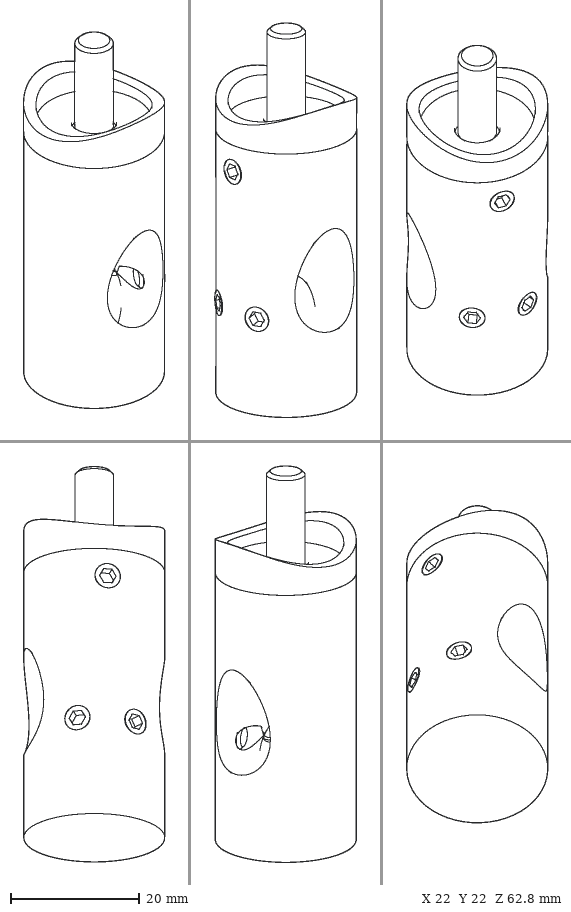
import cadquery as cq
import math

post_radius = 11.0
total_height = 62.8

dome_height = 2.15
shank_length = 43.95
post_top = dome_height + shank_length

bore_radius = 6.0
bore_slope = 45.0
bore_meeting_height = 13.05

tube_radius = 21.2
saddle_low_point = 50.05
recess_radius = 9.05
recess_floor = 48.1
saddle_hole_radius = 3.5
saddle_hole_round = 0.5

stud_radius = 3.0
stud_depth = 10.0
stud_tip_chamfer = 0.55
collar_height = 1.0

screw_radius = 2.0
socket_width = 2.25
socket_depth = 2.0
screw_tip_chamfer = 0.5

lock_screw_height = 41.65
lock_screw_length = post_radius - stud_radius

clamp_screw_height = 18.15
clamp_screw_spread = 25.0
clamp_screw_length = 4.0
clamp_hole_depth = 6.5


def screw_plane(height, turn):
    """Plane on the outer end of a radial screw, turned about the post axis from +Y toward +X."""
    angle = math.radians(turn)
    outward = cq.Vector(math.sin(angle), math.cos(angle), 0)
    return cq.Plane(
        origin=outward * post_radius + cq.Vector(0, 0, height),
        xDir=(outward.y, -outward.x, 0),
        normal=outward,
    )


lock_plane = screw_plane(lock_screw_height, 0)
clamp_planes = [screw_plane(clamp_screw_height, side * clamp_screw_spread) for side in (-1, 1)]


def make_screw(plane, length):
    shank_length = length - screw_tip_chamfer
    shank = cq.Workplane(plane).circle(screw_radius).extrude(-shank_length)
    tip = cq.Workplane(
        cq.Solid.makeCone(
            screw_radius,
            screw_radius - screw_tip_chamfer,
            screw_tip_chamfer,
            pnt=plane.toWorldCoords((0, 0, -shank_length)),
            dir=-plane.zDir,
        )
    )
    socket_diameter = socket_width / math.cos(math.pi / 6)
    socket = cq.Workplane(plane).polygon(6, socket_diameter).extrude(-socket_depth)
    return shank.union(tip).cut(socket)


def make_screw_hole(plane, depth):
    """Round hole that runs from outside the post to the given depth below the screw's outer end."""
    inner_end = plane.toWorldCoords((0, 0, -depth))
    length = depth + screw_radius
    return cq.Workplane(cq.Solid.makeCylinder(screw_radius, length, inner_end, plane.zDir))


def make_rod_bore():
    """Half of the V-shaped bore: a sloping cylinder kept only on the -X side of the post axis."""
    reach = 4 * post_radius
    slope = math.radians(bore_slope)
    direction = (-math.cos(slope), 0, math.sin(slope))
    bore_plane = cq.Plane(origin=(0, 0, bore_meeting_height), xDir=(0, 1, 0), normal=direction)
    cylinder = cq.Workplane(bore_plane).circle(bore_radius).extrude(reach, both=True)
    kept_side = cq.Workplane("XY").box(reach, reach, 2 * total_height).translate((-reach / 2, 0, 0))
    return cylinder.intersect(kept_side)


def make_post():
    profile = (
        cq.Workplane("XZ")
        .moveTo(0, post_top)
        .lineTo(-post_radius, post_top)
        .lineTo(-post_radius, dome_height)
    )
    dome_radius = (post_radius**2 + dome_height**2) / (2 * dome_height)
    half_angle = math.asin(post_radius / dome_radius) / 2
    mid = (-dome_radius * math.sin(half_angle), dome_radius * (1 - math.cos(half_angle)))
    post = profile.threePointArc(mid, (0, 0)).close().revolve(360, (0, 0, 0), (0, 1, 0))
    bore = make_rod_bore()
    post = post.cut(bore).cut(bore.mirror("YZ"))
    stud_hole = cq.Workplane("XY", origin=(0, 0, post_top)).circle(stud_radius).extrude(-stud_depth)
    post = post.cut(stud_hole)
    post = post.cut(make_screw_hole(lock_plane, lock_screw_length))
    for plane in clamp_planes:
        post = post.cut(make_screw_hole(plane, clamp_hole_depth))
    return post


def make_saddle():
    blank_height = total_height - post_top
    saddle = cq.Workplane("XY", origin=(0, 0, post_top)).circle(post_radius).extrude(blank_height)
    tube = (
        cq.Workplane("XZ", origin=(0, 0, saddle_low_point + tube_radius))
        .circle(tube_radius)
        .extrude(2 * post_radius, both=True)
    )
    recess = cq.Workplane("XY", origin=(0, 0, recess_floor)).circle(recess_radius).extrude(blank_height)
    hole = cq.Workplane("XY", origin=(0, 0, post_top)).circle(saddle_hole_radius).extrude(blank_height)
    saddle = saddle.cut(tube).cut(recess).cut(hole)
    hole_edges = saddle.edges("%CIRCLE").edges(cq.selectors.RadiusNthSelector(0))
    return hole_edges.edges(">Z").fillet(saddle_hole_round)


def make_stud():
    """Stud with a bevelled collar that fits the saddle hole and rests on the post."""
    stud_bottom = post_top - stud_depth
    stud_length = total_height - stud_bottom
    stud = cq.Workplane("XY", origin=(0, 0, stud_bottom)).circle(stud_radius).extrude(stud_length)
    stud = stud.faces(">Z").chamfer(stud_tip_chamfer)
    collar = cq.Workplane("XY", origin=(0, 0, post_top)).circle(saddle_hole_radius).extrude(collar_height)
    collar = collar.faces(">Z").chamfer(saddle_hole_radius - stud_radius)
    return stud.union(collar)


post = make_post()
saddle = make_saddle()
stud = make_stud()
lock_screw = make_screw(lock_plane, lock_screw_length)
clamp_screws = [make_screw(plane, clamp_screw_length) for plane in clamp_planes]

result = cq.Compound.makeCompound(
    [post.val(), saddle.val(), stud.val(), lock_screw.val(), *[screw.val() for screw in clamp_screws]]
)